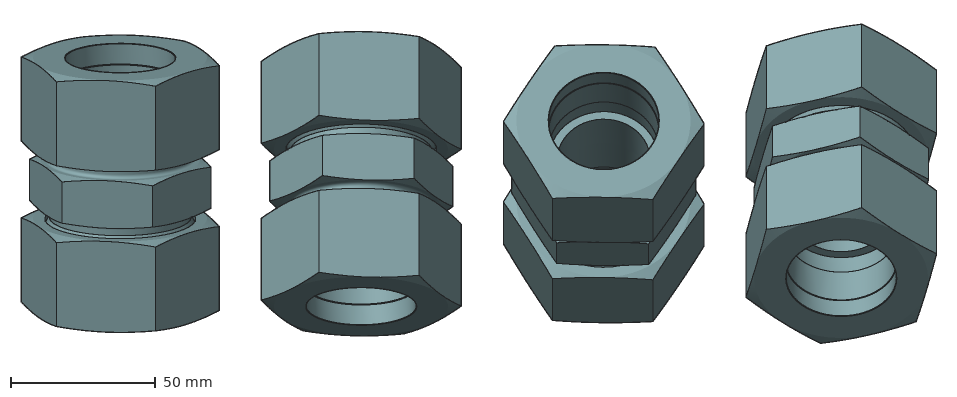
import cadquery as cq
import math

total_length = 90.0
half_length = total_length / 2
nut_length = 32.5
nut_mouth_z = half_length - nut_length

nut_across_flats = 60.0
body_across_flats = 55.0
body_hex_height = 17.0
body_hex_top_z = body_hex_height / 2
corner_trim_angle = 15.0
hexagon_half_sector = 180.0 / 6

thread_diameter = 52.0
undercut_diameter = 49.0
undercut_fillet = 1.35
lead_in_angle = 30.0
lead_in_height = (thread_diameter - undercut_diameter) / 2 / math.tan(math.radians(lead_in_angle))
lead_in_exposure = 0.6
lead_in_bottom_z = nut_mouth_z - lead_in_exposure
passage_diameter = 32.0
tube_bore_diameter = 38.0
tube_stop_z = 17.1
cone_mouth_diameter = 41.2
cone_half_angle = 12.0

ring_tip_z = 24.0
ring_top_z = 37.4
ring_collar_diameter = 44.0
cone_length = (cone_mouth_diameter - tube_bore_diameter) / 2 / math.tan(math.radians(cone_half_angle))
body_end_z = ring_tip_z + cone_length

edge_break = 0.2


def revolved(profile_points):
    """Solid of revolution about Z from (radius, z) points."""
    return cq.Workplane("XZ").polyline(profile_points).close().revolve(360, (0, 0, 0), (0, 1, 0))


def trimmed_hexagon(across_flats, bottom_z, top_z):
    """Hexagonal prism with two flats facing +X and -X, its corners trimmed by a cone at each end."""
    across_corners = across_flats / math.cos(math.radians(hexagon_half_sector))
    prism = (
        cq.Workplane("XY")
        .workplane(offset=bottom_z)
        .transformed(rotate=(0, 0, 90))
        .polygon(6, across_corners)
        .extrude(top_z - bottom_z)
    )
    flat_radius = across_flats / 2
    outer_radius = across_corners / 2
    trim_drop = (outer_radius - flat_radius) * math.tan(math.radians(corner_trim_angle))
    envelope = revolved([
        (0, bottom_z),
        (flat_radius, bottom_z),
        (outer_radius, bottom_z + trim_drop),
        (outer_radius, top_z - trim_drop),
        (flat_radius, top_z),
        (0, top_z),
    ])
    return prism.intersect(envelope)


def make_body_end():
    """Upper end of the body: filleted undercut neck, then the thread at its major diameter."""
    neck_radius = undercut_diameter / 2
    thread_radius = thread_diameter / 2
    fillet_top_z = body_hex_top_z + undercut_fillet
    fillet_middle = undercut_fillet * (1 - math.sqrt(0.5))
    return (
        cq.Workplane("XZ")
        .moveTo(0, 0)
        .lineTo(neck_radius + undercut_fillet, 0)
        .lineTo(neck_radius + undercut_fillet, body_hex_top_z)
        .threePointArc(
            (neck_radius + fillet_middle, body_hex_top_z + fillet_middle),
            (neck_radius, fillet_top_z),
        )
        .lineTo(neck_radius, lead_in_bottom_z)
        .lineTo(thread_radius, lead_in_bottom_z + lead_in_height)
        .lineTo(thread_radius, body_end_z)
        .lineTo(0, body_end_z)
        .close()
        .revolve(360, (0, 0, 0), (0, 1, 0))
    )


def make_bore_half():
    """Upper half of the space inside the body: passage, tube bore and conical mouth."""
    passage_radius = passage_diameter / 2
    bore_radius = tube_bore_diameter / 2
    return revolved([
        (0, 0),
        (passage_radius, 0),
        (passage_radius, tube_stop_z),
        (bore_radius, tube_stop_z),
        (bore_radius, ring_tip_z),
        (cone_mouth_diameter / 2, body_end_z),
        (0, body_end_z),
    ])


def make_body():
    """Hexagonal body with two mirrored threaded ends and a through bore."""
    body = trimmed_hexagon(body_across_flats, -body_hex_top_z, body_hex_top_z)
    end = make_body_end()
    bore = make_bore_half()
    body = body.union(end).union(end.mirror("XY"))
    return body.cut(bore).cut(bore.mirror("XY"))


def make_ring():
    """Upper cutting ring, seated in the mouth of the body."""
    bore_radius = tube_bore_diameter / 2
    collar_radius = ring_collar_diameter / 2
    return revolved([
        (bore_radius, ring_tip_z),
        (cone_mouth_diameter / 2, body_end_z),
        (collar_radius, body_end_z),
        (collar_radius, ring_top_z),
        (bore_radius + edge_break, ring_top_z),
        (bore_radius, ring_top_z - edge_break),
    ])


def make_nut():
    """Upper union nut: thread bore, recess for the ring collar, and tube hole."""
    nut = trimmed_hexagon(nut_across_flats, nut_mouth_z, half_length)
    thread_radius = thread_diameter / 2
    collar_radius = ring_collar_diameter / 2
    hole_radius = tube_bore_diameter / 2
    inside = revolved([
        (0, nut_mouth_z),
        (thread_radius, nut_mouth_z),
        (thread_radius, body_end_z),
        (collar_radius, body_end_z),
        (collar_radius, ring_top_z),
        (hole_radius + edge_break, ring_top_z),
        (hole_radius, ring_top_z + edge_break),
        (hole_radius, half_length - edge_break),
        (hole_radius + edge_break, half_length),
        (0, half_length),
    ])
    return nut.cut(inside)


body = make_body()
rings = []
nuts = []
for copies, make_upper in ((rings, make_ring), (nuts, make_nut)):
    upper = make_upper()
    copies.append(upper.val())
    copies.append(upper.mirror("XY").val())

result = cq.Compound.makeCompound([body.val(), *rings, *nuts])